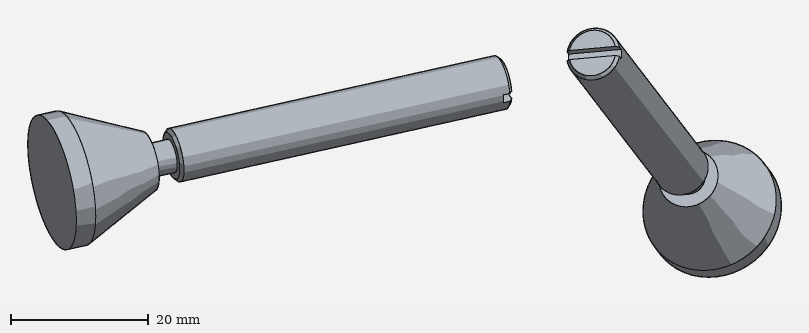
import cadquery as cq

total_length = 70.0
foot_diameter = 20.0
rod_diameter = 8.0
neck_diameter = 5.0
cone_top_diameter = 8.8

rim_height = 3.0
foot_height = 15.0
neck_length = 3.5
rod_chamfer = 0.5

slot_width = 1.4
slot_depth = 1.5

rod_start = foot_height + neck_length
foot_radius = foot_diameter / 2
rod_radius = rod_diameter / 2
neck_radius = neck_diameter / 2
rod_end_radius = rod_radius - rod_chamfer


def turned_body():
    """Foot, neck and chamfered rod, revolved about the Y axis."""
    profile = [
        (0, 0),
        (foot_radius, 0),
        (foot_radius, rim_height),
        (cone_top_diameter / 2, foot_height),
        (neck_radius, foot_height),
        (neck_radius, rod_start),
        (rod_end_radius, rod_start),
        (rod_radius, rod_start + rod_chamfer),
        (rod_radius, total_length - rod_chamfer),
        (rod_end_radius, total_length),
        (0, total_length),
    ]
    return cq.Workplane("XY").polyline(profile).close().revolve(360, (0, 0), (0, 1))


def screwdriver_slot():
    """Slot across the rod along X, twice as long in Y as its depth so it opens at the end."""
    return cq.Workplane("XY").box(rod_diameter, 2 * slot_depth, slot_width).translate((0, total_length, 0))


result = turned_body().cut(screwdriver_slot())